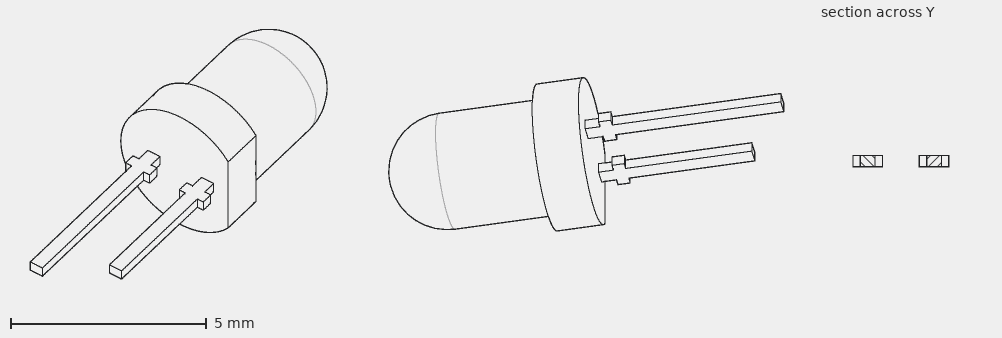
import cadquery as cq

overall_length = 10.4
lens_radius = 1.5
flange_diameter = 3.8
flange_thickness = 1.21
flat_offset = lens_radius

lead_width = 0.38
lead_thickness = 0.29
lead_spacing = 1.7
long_lead_length = 5.1
short_lead_length = 3.99

collar_width = 0.76
collar_length = 0.32
collar_gap = 0.38

lens_tip_y = overall_length - long_lead_length
dome_start_y = lens_tip_y - lens_radius


def make_flange():
    """Round flange with one flat on the +X side."""
    disc = cq.Workplane("XZ").circle(flange_diameter / 2).extrude(-flange_thickness)
    flat_side = (
        cq.Workplane("XZ")
        .center(flat_offset + flange_diameter / 2, 0)
        .rect(flange_diameter, flange_diameter)
        .extrude(-flange_thickness)
    )
    return disc.cut(flat_side)


def make_lens():
    """Cylinder with a hemispherical dome, standing on the flange."""
    profile = (
        cq.Workplane("XY")
        .moveTo(0, flange_thickness)
        .lineTo(lens_radius, flange_thickness)
        .lineTo(lens_radius, dome_start_y)
        .radiusArc((0, lens_tip_y), -lens_radius)
        .close()
    )
    return profile.revolve(360, (0, 0, 0), (0, 1, 0))


def make_lead(center_x, length):
    """Flat lead with a wider stop collar just below the flange."""
    strip = cq.Workplane("XY").box(lead_width, length, lead_thickness)
    strip = strip.translate((center_x, -length / 2, 0))
    collar = cq.Workplane("XY").box(collar_width, collar_length, lead_thickness)
    collar = collar.translate((center_x, -collar_gap - collar_length / 2, 0))
    return strip.union(collar)


flange = make_flange()
lens = make_lens()
leads = [
    make_lead(side * lead_spacing / 2, length)
    for side, length in ((-1, long_lead_length), (1, short_lead_length))
]

result = cq.Compound.makeCompound([flange.val(), lens.val(), *[lead.val() for lead in leads]])